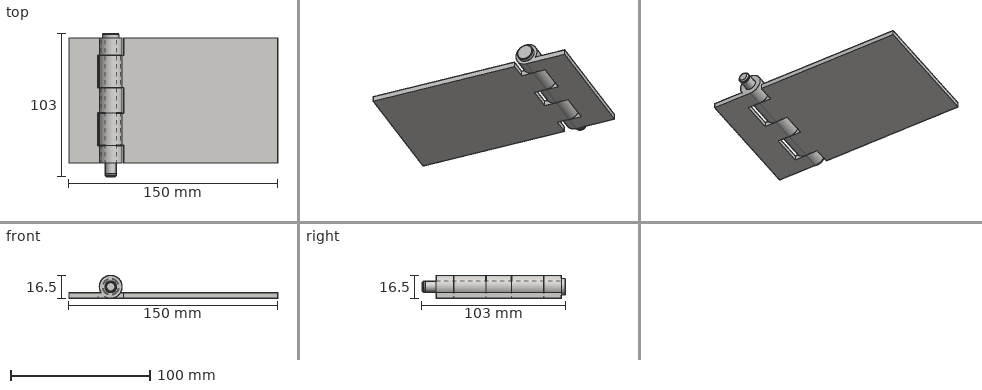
import cadquery as cq

leaf_length = 90.0
leaf_thickness = 4.0
barrel_diameter = 16.5
short_leaf_reach = 30.0
long_leaf_reach = 120.0

middle_knuckle_length = 18.0
long_knuckle_length = 23.5
knuckle_end_clearance = 0.2
slot_clearance = 1.0

pin_diameter = 8.0
bore_diameter = 8.5
head_diameter = 12.0
head_height = 3.0
head_chamfer = 0.5
pin_protrusion = 10.0
tip_chamfer = 1.0
groove_width = 0.5
groove_depth = 0.25
groove_to_tip = 2.0

barrel_radius = barrel_diameter / 2
slot_reach = barrel_radius + slot_clearance
half_length = leaf_length / 2

knuckle_near = middle_knuckle_length / 2
knuckle_far = knuckle_near + long_knuckle_length
long_knuckle_spans = [(-knuckle_far, -knuckle_near), (knuckle_near, knuckle_far)]


def box_between(x_range, y_range, z_range):
    """Axis-aligned box between the given limits."""
    size = [high - low for low, high in (x_range, y_range, z_range)]
    corner = cq.Vector(x_range[0], y_range[0], z_range[0])
    return cq.Workplane(cq.Solid.makeBox(*size, corner))


def cylinder_along_y(radius, y_range):
    """Cylinder on the hinge axis."""
    start = cq.Vector(0, y_range[0], barrel_radius)
    length = y_range[1] - y_range[0]
    return cq.Workplane(cq.Solid.makeCylinder(radius, length, start, cq.Vector(0, 1, 0)))


def knuckle_gap(y_range):
    """Space across the whole hinge line, kept free for a knuckle of the other leaf."""
    return box_between((-slot_reach, slot_reach), y_range, (0, barrel_diameter))


def make_leaf(plate_x_range, gap_spans):
    """Plate tangent to the bottom of a bored barrel, with gaps between its knuckles."""
    full_length = (-half_length, half_length)
    plate = box_between(plate_x_range, full_length, (0, leaf_thickness))
    leaf = plate.union(cylinder_along_y(barrel_radius, full_length))
    for span in gap_spans:
        leaf = leaf.cut(knuckle_gap(span))
    return leaf.cut(cylinder_along_y(bore_diameter / 2, full_length))


def make_short_leaf():
    """Leaf towards -X with two end knuckles and a middle knuckle."""
    return make_leaf((-short_leaf_reach, 0), long_knuckle_spans)


def make_long_leaf():
    """Leaf towards +X with two long knuckles, clear of the short leaf's knuckles."""
    near = knuckle_near + knuckle_end_clearance
    far = knuckle_far - knuckle_end_clearance
    gaps = [(-half_length, -far), (-near, near), (far, half_length)]
    return make_leaf((0, long_leaf_reach), gaps)


def make_pin():
    """Headed pin with a chamfered tip and a ring groove near the tip."""
    tip_y = -half_length - pin_protrusion
    head = cylinder_along_y(head_diameter / 2, (half_length, half_length + head_height))
    head = head.faces(">Y").chamfer(head_chamfer)
    shank = cylinder_along_y(pin_diameter / 2, (tip_y, half_length))
    shank = shank.faces("<Y").chamfer(tip_chamfer)

    groove_span = (tip_y + groove_to_tip, tip_y + groove_to_tip + groove_width)
    groove_core = cylinder_along_y(pin_diameter / 2 - groove_depth, groove_span)
    groove = cylinder_along_y(pin_diameter / 2, groove_span).cut(groove_core)
    return head.union(shank).cut(groove)


short_leaf = make_short_leaf()
long_leaf = make_long_leaf()
pin = make_pin()

result = cq.Compound.makeCompound([short_leaf.val(), long_leaf.val(), pin.val()])